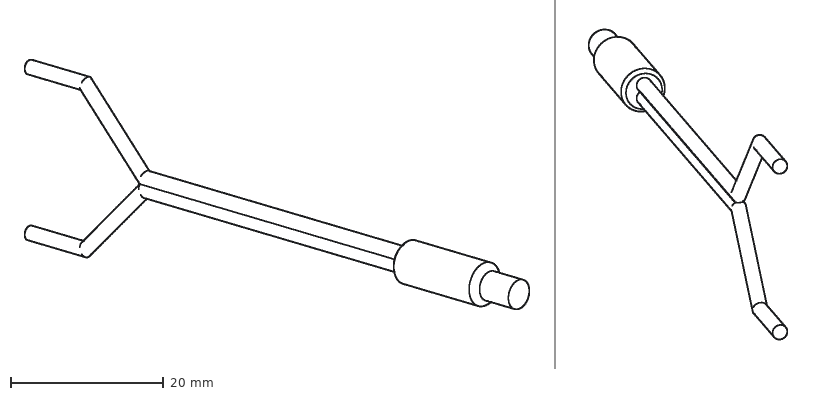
import cadquery as cq

total_length = 88.0
fork_height = 25.0

wire_diameter = 2.0
pair_spacing = 1.8
tip_length = 10.0
tip_offset = (fork_height - wire_diameter) / 2
pair_offset = pair_spacing / 2
fork_x = tip_length + tip_offset - pair_offset

barrel_start = 67.8
barrel_end = 82.8
barrel_radius = 3.0
nose_radius = 2.0
rear_chamfer = 0.5
front_chamfer = barrel_radius - nose_radius


def make_wire(side):
    """One mitred wire; side is +1 for the upper wire and -1 for the lower."""
    path = cq.Workplane("XZ").polyline([
        (0, side * tip_offset),
        (tip_length, side * tip_offset),
        (fork_x, side * pair_offset),
        (barrel_start, side * pair_offset),
    ])
    section = cq.Workplane("YZ", origin=(0, 0, side * tip_offset)).circle(wire_diameter / 2)
    return section.sweep(path, transition="right")


def make_twin_lead():
    """Both wires merged along their common run, ending flat on the barrel's rear face."""
    return make_wire(1).union(make_wire(-1)).solids()


def make_plug():
    """Barrel and nose turned about the X axis."""
    half_profile = cq.Workplane("XZ").polyline([
        (barrel_start, 0),
        (barrel_start, barrel_radius - rear_chamfer),
        (barrel_start + rear_chamfer, barrel_radius),
        (barrel_end - front_chamfer, barrel_radius),
        (barrel_end, nose_radius),
        (total_length, nose_radius),
        (total_length, 0),
    ]).close()
    return half_profile.revolve(360, (0, 0, 0), (1, 0, 0))


twin_lead = make_twin_lead()
plug = make_plug()

result = cq.Compound.makeCompound([twin_lead.val(), plug.val()])